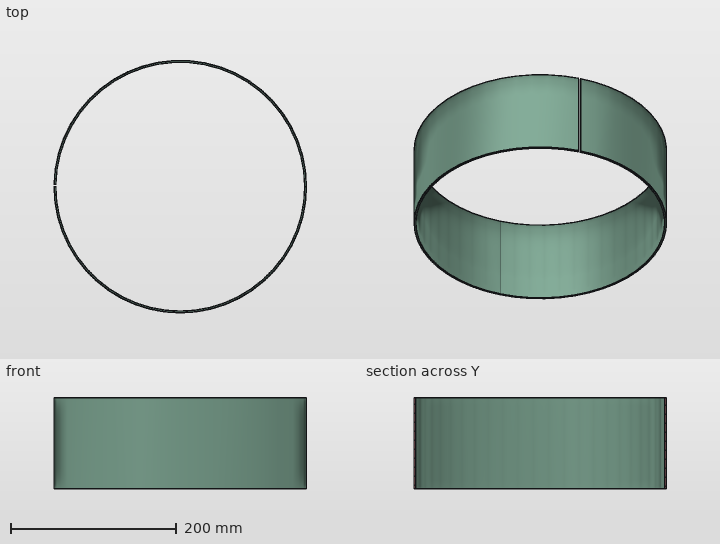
import math

import cadquery as cq

outer_diameter = 305.0
wall_thickness = 2.5
band_height = 110.0
outer_chamfer = 0.5
inner_chamfer = 0.2
slit_angle = 1.0

outer_radius = outer_diameter / 2
inner_radius = outer_radius - wall_thickness


def make_band():
    """Thin cylindrical band standing on the XY plane, centred on the Z axis."""
    return (
        cq.Workplane("XY")
        .circle(outer_radius)
        .circle(inner_radius)
        .extrude(band_height)
    )


def chamfer_rims(band):
    """Break the outer and inner rims at both ends of the band."""
    outer_rims = cq.selectors.RadiusNthSelector(-1)
    inner_rims = cq.selectors.RadiusNthSelector(0)
    band = band.edges(outer_rims).chamfer(outer_chamfer)
    return band.edges(inner_rims).chamfer(inner_chamfer)


def make_slit_wedge():
    """Full-height wedge through the -X wall, from the Y = 0 plane towards +Y."""
    reach = outer_radius + wall_thickness
    slit_rise = reach * math.tan(math.radians(slit_angle))
    return (
        cq.Workplane("XY")
        .polyline([(0, 0), (-reach, 0), (-reach, slit_rise)])
        .close()
        .extrude(band_height)
    )


result = chamfer_rims(make_band()).cut(make_slit_wedge())